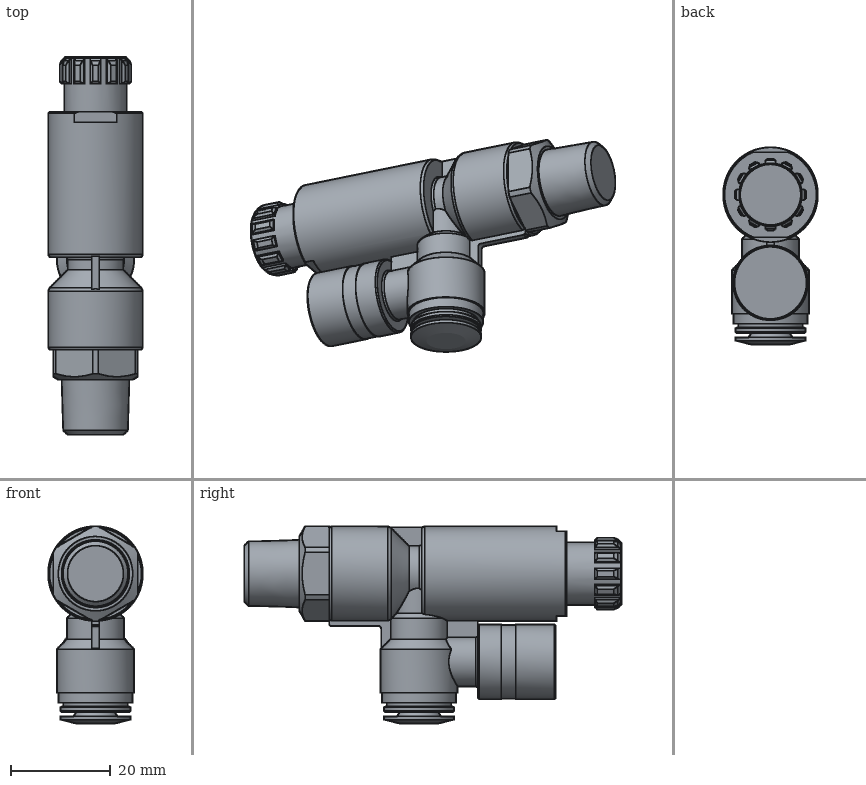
import cadquery as cq
EPS = 0.01

knob_end_y = 40.6
rib_end_y = 35.2
sleeve_back_y = 29.6
sleeve_front_y = 0.5
neck_back_y = 0.0
cone_back_y = -2.0
collar_back_y = -6.25
collar_front_y = -17.75
hex_back_y = -18.0
hex_front_y = -24.0
thread_end_y = -35.0

body_r = 19.0 / 2
edge_chamfer = 0.3
stem_r = 12.6 / 2
stem_chamfer = 0.25
neck_r = 5.6
neck_root_r = 5.8
thread_start_r = 6.8
thread_end_r = 6.5
thread_chamfer = 0.9

rib_count = 12
rib_width = 2.2
rib_top_r = 7.2
rib_edge_chamfer = 0.5

flat_distance = 17.0
flat_length = 2.05
hex_face_r = 14.9 / 2
hex_chamfer_length = 1.2

column_r = 4.8
leg_top_r = 11.5 / 2
leg_r = 15.5 / 2
leg_lip_r = 14.9 / 2
ring_r = 14.1 / 2
ring_groove_r = 6.5
release_neck_r = 7.8 / 2
leg_shoulder_z = -8.9
leg_cone_top_z = -13.1
leg_lip_top_z = -23.85
leg_lip_bottom_z = -25.85
ring_groove_bottom_z = -26.5
ring_top_z = -26.75
ring_bottom_z = -27.7
ring_bevel = 0.25
flange_top_z = -28.55
flange_rim_bottom_z = -29.2
release_flare = 0.5
seam_angle = 45
leg_bottom_z = -30.0

cartridge_z = -17.65
cartridge_r = 15.0 / 2
cartridge_waist_r = 7.4
cartridge_back_y = 27.4
waist_back_y = 19.4
waist_front_y = 16.5
cartridge_front_y = 11.8
cartridge_neck_r = 4.95
cartridge_collar_r = 5.2
cartridge_collar_length = 0.4
cartridge_chamfer = 0.3

web_thickness = 1.6
top_web_z = 9.3
bottom_web_z = -10.5
leg_web_y = -7.6
web_fillet = 0.5


def turned_along_y(points, axis_z=0.0):
    """Solid of revolution about a line parallel to Y; points are (radius, y)."""
    profile = cq.Workplane("XY", origin=(0, 0, axis_z)).polyline(points).close()
    return profile.revolve(360, (0, 0, 0), (0, 1, 0))


def turned_along_z(points):
    """Solid of revolution about the Z axis; points are (radius, z)."""
    return cq.Workplane("XZ").polyline(points).close().revolve(360, (0, 0, 0), (0, 1, 0))


def plate(points):
    """Web plate centred on X = 0; points are (y, z)."""
    return cq.Workplane("YZ").polyline(points).close().extrude(web_thickness / 2, both=True)


def make_knob():
    knob = turned_along_y([
        (0, knob_end_y),
        (stem_r - stem_chamfer, knob_end_y),
        (stem_r, knob_end_y - stem_chamfer),
        (stem_r, sleeve_back_y - 1),
        (0, sleeve_back_y - 1),
    ])
    rib_root_r = stem_r - 1
    rib_nose = rib_top_r - stem_r
    rib = (
        cq.Workplane("YZ")
        .polyline([
            (knob_end_y - stem_chamfer, rib_root_r),
            (knob_end_y - stem_chamfer, stem_r),
            (knob_end_y - stem_chamfer - rib_nose, rib_top_r),
            (rib_end_y, rib_top_r),
            (rib_end_y, rib_root_r),
        ])
        .close()
        .extrude(rib_width / 2, both=True)
        .faces(">Z")
        .chamfer(rib_edge_chamfer)
    )
    for index in range(rib_count):
        knob = knob.union(rib.rotate((0, 0, 0), (0, 1, 0), index * 360 / rib_count))
    return knob


def make_sleeve():
    sleeve = turned_along_y([
        (0, sleeve_back_y),
        (body_r - edge_chamfer, sleeve_back_y),
        (body_r, sleeve_back_y - edge_chamfer),
        (body_r, sleeve_front_y + 2 * edge_chamfer),
        (body_r - edge_chamfer, sleeve_front_y),
        (0, sleeve_front_y),
    ])
    flat_cut_height = body_r
    for side in (1, -1):
        flat_cut = cq.Workplane("XY").box(2 * body_r, 2 * flat_length, flat_cut_height)
        flat_cut_z = side * (flat_distance + flat_cut_height) / 2
        sleeve = sleeve.cut(flat_cut.translate((0, sleeve_back_y, flat_cut_z)))
    return sleeve


def make_collar():
    cone_r = body_r - edge_chamfer
    cone_front_y = cone_back_y - (cone_r - neck_r)
    return turned_along_y([
        (0, sleeve_front_y),
        (neck_root_r, sleeve_front_y),
        (neck_r, neck_back_y),
        (neck_r, cone_back_y),
        (cone_r, cone_front_y),
        (body_r, collar_back_y),
        (body_r, collar_front_y + edge_chamfer),
        (body_r - edge_chamfer, hex_back_y),
        (0, hex_back_y),
    ])


def make_hexagon():
    hexagon = (
        cq.Workplane("XZ", origin=(0, hex_back_y, 0))
        .polygon(6, flat_distance, circumscribed=True)
        .extrude(hex_back_y - hex_front_y)
    )
    turned_blank = turned_along_y([
        (0, hex_back_y),
        (body_r, hex_back_y),
        (body_r, hex_front_y + hex_chamfer_length),
        (hex_face_r, hex_front_y),
        (0, hex_front_y),
    ])
    return hexagon.intersect(turned_blank)


def make_thread():
    return turned_along_y([
        (0, hex_front_y),
        (thread_start_r, hex_front_y),
        (thread_end_r, thread_end_y + thread_chamfer),
        (thread_end_r - thread_chamfer, thread_end_y),
        (0, thread_end_y),
    ])


def make_leg():
    leg = turned_along_z([
        (0, 0),
        (column_r, 0),
        (column_r, leg_shoulder_z + leg_top_r - column_r),
        (leg_top_r, leg_shoulder_z),
        (leg_top_r, leg_cone_top_z),
        (leg_r, leg_cone_top_z - (leg_r - leg_top_r)),
        (leg_r, leg_lip_top_z),
        (leg_lip_r, leg_lip_top_z),
        (leg_lip_r, leg_lip_bottom_z),
        (ring_groove_r, leg_lip_bottom_z),
        (ring_groove_r, ring_groove_bottom_z),
        (ring_r, ring_top_z),
        (ring_r, ring_bottom_z + ring_bevel),
        (ring_r - ring_bevel, ring_bottom_z),
        (release_neck_r, ring_bottom_z),
        (release_neck_r + release_flare, flange_top_z),
        (ring_r, flange_top_z),
        (ring_r, flange_rim_bottom_z),
        (release_neck_r, leg_bottom_z),
        (0, leg_bottom_z),
    ])
    return leg.rotate((0, 0, 0), (0, 0, 1), seam_angle)


def make_cartridge():
    return turned_along_y([
        (0, cartridge_back_y),
        (cartridge_r - cartridge_chamfer, cartridge_back_y),
        (cartridge_r, cartridge_back_y - cartridge_chamfer),
        (cartridge_r, waist_back_y),
        (cartridge_waist_r, waist_back_y),
        (cartridge_waist_r, waist_front_y),
        (cartridge_r, waist_front_y),
        (cartridge_r, cartridge_front_y + cartridge_chamfer),
        (cartridge_r - cartridge_chamfer, cartridge_front_y),
        (cartridge_collar_r, cartridge_front_y),
        (cartridge_neck_r, cartridge_front_y - cartridge_collar_length),
        (cartridge_neck_r, 0),
        (0, 0),
    ], cartridge_z)


def make_top_web():
    web_front_y = collar_back_y + edge_chamfer
    web_back_y = sleeve_front_y + 1
    return plate([
        (web_front_y, 0),
        (web_back_y, 0),
        (web_back_y, top_web_z),
        (web_front_y, top_web_z),
    ])


def make_bottom_web():
    web_front_y = hex_back_y + EPS
    web_back_y = cartridge_front_y - EPS
    leg_cone_bottom_z = leg_cone_top_z - (leg_r - leg_top_r)
    web = plate([
        (web_front_y, 0),
        (web_back_y, 0),
        (web_back_y, cartridge_z),
        (0, cartridge_z),
        (0, leg_cone_bottom_z),
        (leg_web_y, leg_cone_bottom_z),
        (leg_web_y, bottom_web_z),
        (web_front_y, bottom_web_z),
    ])
    inner_corner = cq.selectors.NearestToPointSelector((0, leg_web_y, bottom_web_z))
    outer_corner = cq.selectors.NearestToPointSelector((0, web_front_y, bottom_web_z))
    web = web.edges("|X").edges(outer_corner).chamfer(edge_chamfer)
    return web.edges("|X").edges(inner_corner).fillet(web_fillet)


result = make_collar()
for feature in (
    make_sleeve(),
    make_knob(),
    make_hexagon(),
    make_thread(),
    make_leg(),
    make_cartridge(),
    make_top_web(),
    make_bottom_web(),
):
    result = result.union(feature)